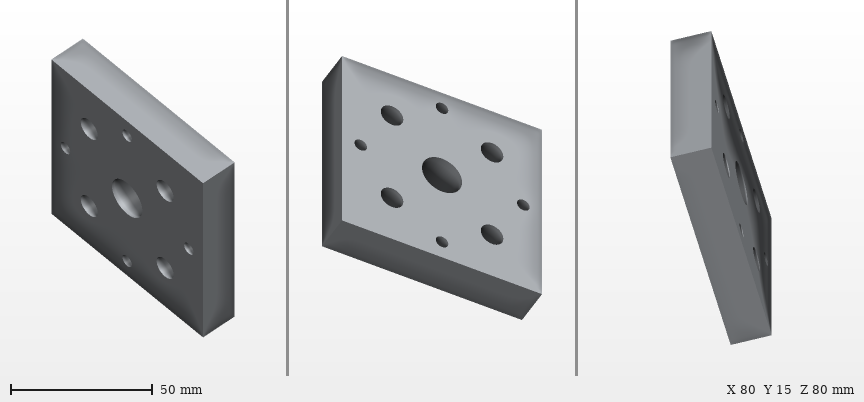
import cadquery as cq

plate_side = 80.0
plate_thickness = 15.0

center_bore_diameter = 16.0
corner_hole_diameter = 9.0
corner_hole_spacing = 40.0
edge_hole_diameter = 5.0
edge_hole_circle_diameter = 65.0
edge_hole_count = 4


def make_plate():
    """Solid square plate centred on the origin."""
    return cq.Workplane("XY").box(plate_side, plate_thickness, plate_side)


def front_face(plate):
    """Workplane centred on the -Y face of the plate."""
    return plate.faces("<Y").workplane(centerOption="CenterOfBoundBox")


def cut_center_bore(plate):
    return front_face(plate).hole(center_bore_diameter)


def cut_corner_holes(plate):
    """Four holes at the corners of a square around the bore."""
    corners = front_face(plate).rarray(corner_hole_spacing, corner_hole_spacing, 2, 2)
    return corners.hole(corner_hole_diameter)


def cut_edge_holes(plate):
    """Small holes on a circle, one facing the middle of each plate edge."""
    circle = front_face(plate).polarArray(edge_hole_circle_diameter / 2, 0, 360, edge_hole_count)
    return circle.hole(edge_hole_diameter)


result = make_plate()
result = cut_center_bore(result)
result = cut_corner_holes(result)
result = cut_edge_holes(result)